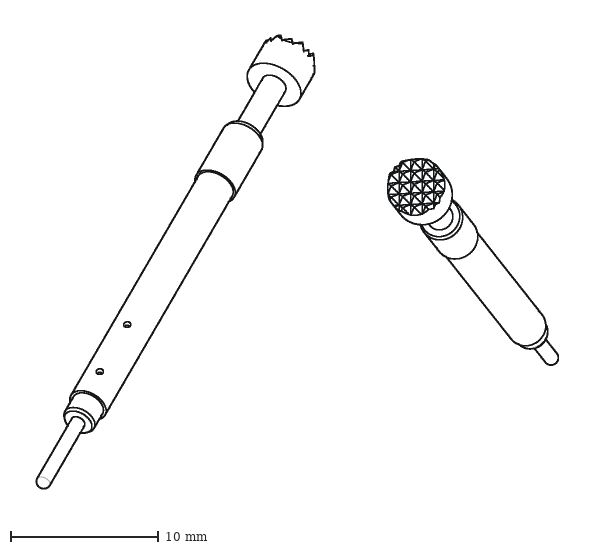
import cadquery as cq
import math

LENGTH = 43.3
REAR_Y = -LENGTH / 2
TIP_Y = LENGTH / 2

HEAD_DIA = 4.0
PLUNGER_DIA = 1.78
COLLAR_DIA = 3.0
BARREL_DIA = 2.7
TAIL_DIA = 2.3
PIN_DIA = 1.0

HEAD_LENGTH = 3.05
PLUNGER_LENGTH = 5.1
COLLAR_LENGTH = 5.05
BARREL_LENGTH = 21.95
TAIL_LENGTH = 1.7

COLLAR_CHAMFER_LENGTH = 0.35
COLLAR_CHAMFER_DEPTH = 0.15
TAIL_CHAMFER_LENGTH = 0.2
TAIL_CHAMFER_DEPTH = 0.15
PIN_DOME_HEIGHT = 0.45

TEETH_ACROSS = 5
TOOTH_TIP_SPAN = 3.2
TOOTH_PITCH = TOOTH_TIP_SPAN / (TEETH_ACROSS - 1)
GROOVE_ANGLE = 60.0

DIMPLE_COUNT = 2
DIMPLE_DIA = 0.5
DIMPLE_FLOOR_DIA = 0.2
DIMPLE_DEPTH = 0.17
FIRST_DIMPLE_FROM_TIP = 28.4
DIMPLE_SPACING = 4.7

HEAD_BACK_Y = TIP_Y - HEAD_LENGTH
COLLAR_FRONT_Y = HEAD_BACK_Y - PLUNGER_LENGTH
COLLAR_BACK_Y = COLLAR_FRONT_Y - COLLAR_LENGTH
BARREL_BACK_Y = COLLAR_BACK_Y - BARREL_LENGTH
TAIL_BACK_Y = BARREL_BACK_Y - TAIL_LENGTH


def make_body():
    """Revolve the half outline of all the coaxial sections about Y."""
    head_r = HEAD_DIA / 2
    plunger_r = PLUNGER_DIA / 2
    collar_r = COLLAR_DIA / 2
    barrel_r = BARREL_DIA / 2
    tail_r = TAIL_DIA / 2
    pin_r = PIN_DIA / 2

    dome_r = (pin_r**2 + PIN_DOME_HEIGHT**2) / (2 * PIN_DOME_HEIGHT)
    half_arc = math.asin(pin_r / dome_r) / 2
    dome_mid = (dome_r * math.sin(half_arc), REAR_Y + dome_r * (1 - math.cos(half_arc)))

    outline = (
        cq.Workplane("XY")
        .moveTo(0, TIP_Y)
        .lineTo(head_r, TIP_Y)
        .lineTo(head_r, HEAD_BACK_Y)
        .lineTo(plunger_r, HEAD_BACK_Y)
        .lineTo(plunger_r, COLLAR_FRONT_Y)
        .lineTo(collar_r - COLLAR_CHAMFER_DEPTH, COLLAR_FRONT_Y)
        .lineTo(collar_r, COLLAR_FRONT_Y - COLLAR_CHAMFER_LENGTH)
        .lineTo(collar_r, COLLAR_BACK_Y)
        .lineTo(barrel_r, COLLAR_BACK_Y)
        .lineTo(barrel_r, BARREL_BACK_Y)
        .lineTo(tail_r, BARREL_BACK_Y)
        .lineTo(tail_r, TAIL_BACK_Y + TAIL_CHAMFER_LENGTH)
        .lineTo(tail_r - TAIL_CHAMFER_DEPTH, TAIL_BACK_Y)
        .lineTo(pin_r, TAIL_BACK_Y)
        .lineTo(pin_r, REAR_Y + PIN_DOME_HEIGHT)
        .threePointArc(dome_mid, (0, REAR_Y))
        .close()
    )
    return outline.revolve(360, (0, 0, 0), (0, 1, 0))


def cut_teeth(body):
    """Cut parallel V grooves along Z, then again turned a quarter about Y."""
    half_width = TOOTH_PITCH / 2
    depth = half_width / math.tan(math.radians(GROOVE_ANGLE / 2))
    for i in range(TEETH_ACROSS + 1):
        center_x = (i - TEETH_ACROSS / 2) * TOOTH_PITCH
        groove = (
            cq.Workplane("XY")
            .moveTo(center_x - half_width, TIP_Y)
            .lineTo(center_x, TIP_Y - depth)
            .lineTo(center_x + half_width, TIP_Y)
            .close()
            .extrude(HEAD_DIA, both=True)
        )
        body = body.cut(groove)
        body = body.cut(groove.rotate((0, 0, 0), (0, 1, 0), 90))
    return body


def cut_dimples(body):
    """Cut shallow tapered dimples into the top of the barrel."""
    top_z = BARREL_DIA / 2
    for i in range(DIMPLE_COUNT):
        y = TIP_Y - FIRST_DIMPLE_FROM_TIP - i * DIMPLE_SPACING
        dimple = (
            cq.Workplane("XY", origin=(0, y, top_z))
            .circle(DIMPLE_DIA / 2)
            .workplane(offset=-DIMPLE_DEPTH)
            .circle(DIMPLE_FLOOR_DIA / 2)
            .loft()
        )
        body = body.cut(dimple)
    return body


result = cut_dimples(cut_teeth(make_body()))